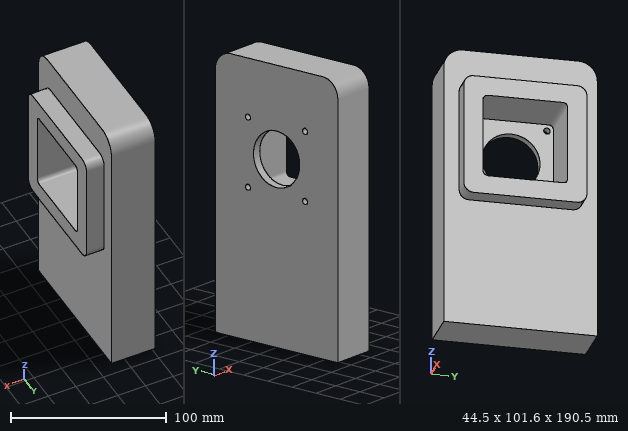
import cadquery as cq

plate_thickness = 31.75
plate_width = 101.6
plate_height = 190.5
plate_corner_radius = 12.7

axis_height = 127.0
pocket_size = 55.88
pocket_corner_radius = 3.175
collar_wall = 12.7
collar_size = pocket_size + 2 * collar_wall
collar_length = 12.7
collar_corner_radius = 6.35
web_thickness = 6.35

pilot_diameter = 38.1
screw_diameter = 4.0
screw_pitch = 47.244

total_depth = plate_thickness + collar_length


def section_at(x):
    """Workplane facing +X at the given depth, centred on the shaft axis."""
    return cq.Workplane("YZ", origin=(x, 0, axis_height))


def rounded_square(x, size, length, corner_radius):
    """Square bar along X with rounded long edges, starting at the given depth."""
    bar = section_at(x).rect(size, size).extrude(length)
    return bar.edges("|X").fillet(corner_radius)


def make_plate():
    """Plate with its two upper corners rounded."""
    plate = cq.Workplane("XY").box(
        plate_thickness, plate_width, plate_height, centered=(False, True, False)
    )
    return plate.faces(">Z").edges("|X").fillet(plate_corner_radius)


def make_web_holes():
    """Pilot hole and four screw holes through the web."""
    pilot = section_at(0).circle(pilot_diameter / 2).extrude(web_thickness)
    screws = (
        section_at(0)
        .rect(screw_pitch, screw_pitch, forConstruction=True)
        .vertices()
        .circle(screw_diameter / 2)
        .extrude(web_thickness)
    )
    return pilot, screws


collar = rounded_square(plate_thickness, collar_size, collar_length, collar_corner_radius)

pocket = rounded_square(
    web_thickness, pocket_size, total_depth - web_thickness, pocket_corner_radius
)
pilot_hole, screw_holes = make_web_holes()

result = make_plate().union(collar).cut(pocket).cut(pilot_hole).cut(screw_holes)